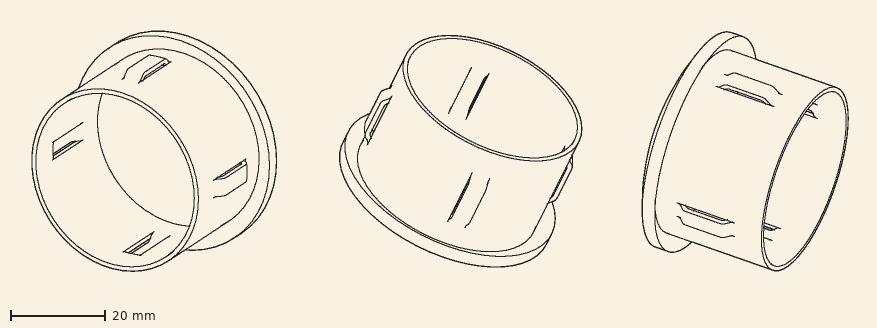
import cadquery as cq
import math

cap_radius = 24.15
rim_height = 3.0
dome_rise = 6.15
tube_length = 23.45
tube_radius = 20.55
wall = 1.0

strap_count = 4
strap_width = 4.0
strap_rise = 1.55
strap_crest_length = 8.05
strap_center_y = 13.2
bend_angle = math.radians(45)
bend_radius = 1.5

bore_radius = tube_radius - wall
window_crest_length = strap_crest_length - 2 * wall * math.tan(bend_angle / 2)
rim_top_y = tube_length + rim_height
apex_y = rim_top_y + dome_rise
dome_radius = (cap_radius**2 + dome_rise**2) / (2 * dome_rise)


def dome_height(radius):
    """Rise of the dome above its edge at a distance from the axis."""
    return math.sqrt(dome_radius**2 - radius**2) - (dome_radius - dome_rise)


def revolve_about_y(profile):
    return profile.revolve(360, (0, 0, 0), (0, 1, 0))


def make_cap():
    """Domed lid whose hollow underside repeats the dome, one rim height lower."""
    mid_radius = cap_radius / 2
    mid_rise = dome_height(mid_radius)
    profile = (
        cq.Workplane("XY")
        .moveTo(0, apex_y - rim_height)
        .threePointArc((mid_radius, tube_length + mid_rise), (cap_radius, tube_length))
        .lineTo(cap_radius, rim_top_y)
        .threePointArc((mid_radius, rim_top_y + mid_rise), (0, apex_y))
        .close()
    )
    return revolve_about_y(profile)


def make_tube():
    """Tube running up into the hollow underside of the lid."""
    mid_shell_y = tube_length + rim_height / 2
    top_inner_y = mid_shell_y + dome_height(bore_radius)
    top_outer_y = mid_shell_y + dome_height(tube_radius)
    profile = cq.Workplane("XY").polyline(
        [(bore_radius, 0), (tube_radius, 0), (tube_radius, top_outer_y), (bore_radius, top_inner_y)]
    ).close()
    return revolve_about_y(profile)


def make_hump(base_radius, crest_length, root_radius):
    """Block on the +X side, from root_radius out to a bent strap surface.

    The surface leaves base_radius through a concave foot bend, climbs a straight
    ramp and turns into the flat crest through a convex bend of the same radius.
    """
    half_angle = bend_angle / 2
    bend_run = bend_radius * math.sin(bend_angle)
    bend_rise = bend_radius * (1 - math.cos(bend_angle))
    half_bend_run = bend_radius * math.sin(half_angle)
    half_bend_rise = bend_radius * (1 - math.cos(half_angle))
    ramp_run = (strap_rise - 2 * bend_rise) / math.tan(bend_angle)

    crest_radius = base_radius + strap_rise
    crest_end = crest_length / 2
    ramp_top = crest_end + bend_run
    ramp_foot = ramp_top + ramp_run
    foot_end = ramp_foot + bend_run

    foot_mid = (base_radius + half_bend_rise, foot_end - half_bend_run)
    ramp_start = (base_radius + bend_rise, ramp_foot)
    ramp_end = (crest_radius - bend_rise, ramp_top)
    crest_mid = (crest_radius - half_bend_rise, crest_end + half_bend_run)

    def mirrored(point):
        return (point[0], -point[1])

    profile = (
        cq.Workplane("XY", origin=(0, strap_center_y, 0))
        .moveTo(root_radius, foot_end)
        .lineTo(base_radius, foot_end)
        .threePointArc(foot_mid, ramp_start)
        .lineTo(*ramp_end)
        .threePointArc(crest_mid, (crest_radius, crest_end))
        .lineTo(crest_radius, -crest_end)
        .threePointArc(mirrored(crest_mid), mirrored(ramp_end))
        .lineTo(*mirrored(ramp_start))
        .threePointArc(mirrored(foot_mid), (base_radius, -foot_end))
        .lineTo(root_radius, -foot_end)
        .close()
    )
    width_limit = cq.Workplane("XY").box(
        cap_radius, tube_length, strap_width, centered=(False, False, True)
    )
    return revolve_about_y(profile).intersect(width_limit)


def repeat_around_axis(shape):
    copies = shape
    for index in range(1, strap_count):
        copies = copies.union(shape.rotate((0, 0, 0), (0, 1, 0), index * 360 / strap_count))
    return copies


strap_blocks = repeat_around_axis(make_hump(tube_radius, strap_crest_length, bore_radius + wall / 2))
window_cuts = repeat_around_axis(make_hump(bore_radius, window_crest_length, bore_radius - wall))

result = make_tube().union(strap_blocks).cut(window_cuts).union(make_cap())